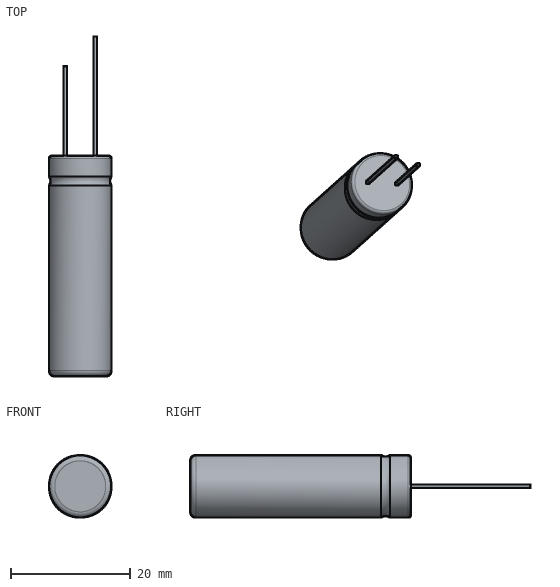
import cadquery as cq


total_length = 57.0
can_diameter = 10.5
long_lead = 20.0
can_length = total_length - long_lead
can_radius = can_diameter / 2

closed_end_fillet = 0.95
lead_end_fillet = 0.5

groove_start = 3.5
groove_width = 1.55
groove_depth = 0.2

short_lead = 15.0
lead_diameter = 0.6
lead_spacing = 5.0
lead_embed = 0.55


def make_can():
    """Solid cylinder from Y = 0 to Y = -can_length, rounded at both ends."""
    can = cq.Workplane("XZ").circle(can_radius).extrude(can_length)
    can = can.faces("<Y").edges().fillet(closed_end_fillet)
    return can.faces(">Y").edges().fillet(lead_end_fillet)


def make_groove():
    """Ring with an arc section that cuts the crimp groove, revolved about Y."""
    start = -groove_start
    end = start - groove_width
    middle = (start + end) / 2
    outside = can_radius + groove_depth
    return (
        cq.Workplane("XY")
        .moveTo(can_radius, start)
        .threePointArc((can_radius - groove_depth, middle), (can_radius, end))
        .lineTo(outside, end)
        .lineTo(outside, start)
        .close()
        .revolve(360, (0, 0, 0), (0, 1, 0))
    )


def make_lead(x, length):
    """Round wire that sticks out of the lead end by the given length."""
    return (
        cq.Workplane("XZ", origin=(x, length, 0))
        .circle(lead_diameter / 2)
        .extrude(length + lead_embed)
    )


result = make_can().cut(make_groove())
for lead_x, lead_length in ((-lead_spacing / 2, short_lead), (lead_spacing / 2, long_lead)):
    result = result.union(make_lead(lead_x, lead_length))